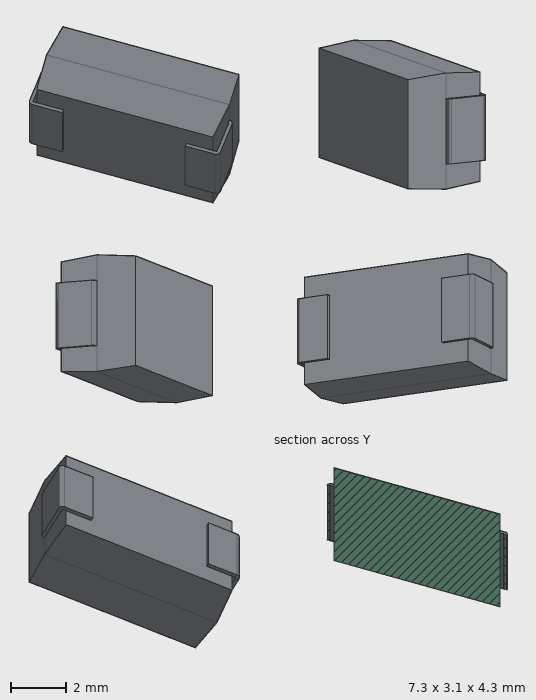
import cadquery as cq
import math

overall_length = 7.3
overall_depth = 3.1
body_height = 4.3
draft_angle = 5.0
lead_thickness = 0.13
inner_bend_radius = 0.018
lead_width = 2.4
foot_length = 1.3

half_depth = (overall_depth - lead_thickness) / 2
outer_bend_radius = inner_bend_radius + lead_thickness
body_length = overall_length - 2 * outer_bend_radius
draft_slope = math.tan(math.radians(draft_angle))


def make_body():
    """Moulded body, tapering away from the parting plane on both sides."""
    profile = cq.Workplane("XZ").rect(body_length, body_height)
    front_half = profile.extrude(half_depth, taper=draft_angle)
    back_half = front_half.mirror("XZ")
    return front_half.union(back_half)


def make_lead(side):
    """Folded strip terminal; side is +1 for the +X end and -1 for the -X end."""
    outer_x = overall_length / 2
    inner_x = outer_x - lead_thickness
    bend_x = outer_x - outer_bend_radius
    foot_end_x = outer_x - foot_length
    foot_inner_y = -half_depth
    foot_outer_y = foot_inner_y - lead_thickness
    upper_bend_y = -outer_bend_radius
    lower_bend_y = foot_outer_y + outer_bend_radius
    outer_mid = outer_bend_radius * math.sqrt(0.5)
    inner_mid = inner_bend_radius * math.sqrt(0.5)
    arm_tip_x = body_length / 2 - lead_thickness * draft_slope

    strip = (
        cq.Workplane("XY")
        .moveTo(side * bend_x, 0)
        .threePointArc(
            (side * (bend_x + outer_mid), upper_bend_y + outer_mid),
            (side * outer_x, upper_bend_y),
        )
        .lineTo(side * outer_x, lower_bend_y)
        .threePointArc(
            (side * (bend_x + outer_mid), lower_bend_y - outer_mid),
            (side * bend_x, foot_outer_y),
        )
        .lineTo(side * foot_end_x, foot_outer_y)
        .lineTo(side * foot_end_x, foot_inner_y)
        .lineTo(side * bend_x, foot_inner_y)
        .threePointArc(
            (side * (bend_x + inner_mid), lower_bend_y - inner_mid),
            (side * inner_x, lower_bend_y),
        )
        .lineTo(side * inner_x, upper_bend_y)
        .threePointArc(
            (side * (bend_x + inner_mid), upper_bend_y + inner_mid),
            (side * bend_x, -lead_thickness),
        )
        .lineTo(side * arm_tip_x, -lead_thickness)
        .close()
    )
    return strip.extrude(lead_width / 2, both=True)


body = make_body()
leads = [make_lead(side) for side in (-1, 1)]

result = cq.Compound.makeCompound([body.val(), *[lead.val() for lead in leads]])